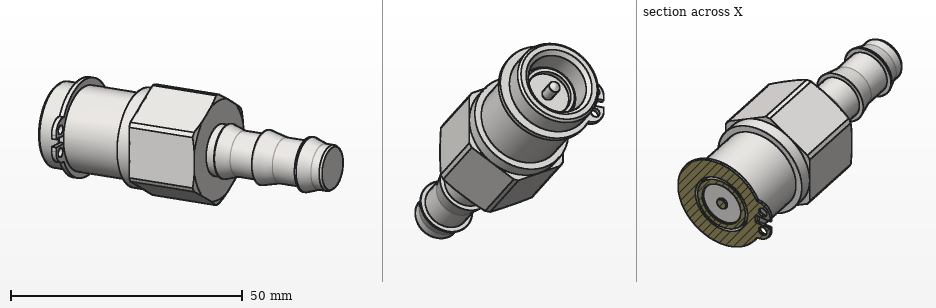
import cadquery as cq
import math

total_length = 67.5

sleeve_radius = 19.0 / 2
sleeve_chamfer = 0.55
collar_radius = 22.0 / 2
collar_start = 20.45
groove_radius = 18.0 / 2
groove_start = 5.05
groove_end = 6.4

hex_start = 23.4
hex_end = 39.5
hex_flats = 2 * collar_radius
hex_corner_radius = 24.8 / 2
hex_chamfer_length = 0.4
hex_chamfer_depth = 1.2

neck_radius = 11.5 / 2
tail_radius = 10.1 / 2
barb_radius = 12.15 / 2
tip_chamfer_length = 0.55
tip_chamfer_depth = 0.35
barbs = [(41.6, 41.7, 44.95), (50.9, 51.0, 55.35), (61.4, 61.8, 64.9)]

bore_radius = 13.6 / 2
bore_depth = 8.1
mouth_chamfer = 0.95
tube_outer_radius = 12.6 / 2
tube_inner_radius = 10.0 / 2
tube_face = 5.2
tube_chamfer = 0.5
tube_floor = 6.35
pin_radius = 2.5 / 2
pin_tip = 1.75
pin_cone_length = 0.7

ring_thickness = 1.1
ring_radius = collar_radius
ring_offset = 0.5
ring_gap = 1.8
ear_radius = 3.25
ear_y = -9.6
ear_z = 1.8
ear_hole_radius = 2.0 / 2
ear_hole_y = -10.8
ear_hole_z = 2.55


def revolve_about_x(points):
    """Turn a closed (x, radius) outline about the X axis."""
    return cq.Workplane("XY").polyline(points).close().revolve(360, (0, 0, 0), (1, 0, 0))


def disc(x, length, radius, y=0, z=0):
    """Cylinder along X starting at the given x."""
    return cq.Workplane("YZ", origin=(x, y, z)).circle(radius).extrude(length)


def make_body():
    outline = [
        (0, 0),
        (0, sleeve_radius - sleeve_chamfer),
        (sleeve_chamfer, sleeve_radius),
        (groove_start, sleeve_radius),
        (groove_start, groove_radius),
        (groove_end, groove_radius),
        (groove_end, sleeve_radius),
        (collar_start, sleeve_radius),
        (collar_start, collar_radius),
        (hex_start, collar_radius),
        (hex_start, neck_radius),
    ]
    radius_before = neck_radius
    for crest_start, crest_end, taper_end in barbs:
        outline += [
            (crest_start, radius_before),
            (crest_start, barb_radius),
            (crest_end, barb_radius),
            (taper_end, tail_radius),
        ]
        radius_before = tail_radius
    outline += [
        (total_length - tip_chamfer_length, tail_radius),
        (total_length, tail_radius - tip_chamfer_depth),
        (total_length, 0),
    ]
    return revolve_about_x(outline)


def make_hexagon():
    """Hexagon with corners at top and bottom, rounded at the corners and chamfered behind."""
    prism = (
        cq.Workplane("YZ", origin=(hex_start, 0, 0))
        .transformed(rotate=(0, 0, 90))
        .polygon(6, hex_flats / math.cos(math.pi / 6))
        .extrude(hex_end - hex_start)
    )
    envelope = revolve_about_x([
        (hex_start, 0),
        (hex_start, hex_corner_radius),
        (hex_end - hex_chamfer_length, hex_corner_radius),
        (hex_end, hex_corner_radius - hex_chamfer_depth),
        (hex_end, 0),
    ])
    return prism.intersect(envelope)


def make_bore():
    """Space inside the socket, leaving the tube and the pin standing."""
    return revolve_about_x([
        (0, 0),
        (0, bore_radius + mouth_chamfer),
        (mouth_chamfer, bore_radius),
        (bore_depth, bore_radius),
        (bore_depth, tube_outer_radius),
        (tube_face + tube_chamfer, tube_outer_radius),
        (tube_face, tube_outer_radius - tube_chamfer),
        (tube_face, tube_inner_radius),
        (tube_floor, tube_inner_radius),
        (tube_floor, pin_radius),
        (pin_tip + pin_cone_length, pin_radius),
        (pin_tip, 0),
    ])


def make_retaining_ring():
    start = groove_end - ring_thickness
    ring = disc(start, ring_thickness, ring_radius, y=ring_offset)
    web_tip = ear_y - ear_radius
    web = cq.Workplane("XY").box(
        ring_thickness, -groove_radius - web_tip, 2 * ear_z, centered=(False, False, True)
    )
    ring = ring.union(web.translate((start, web_tip, 0)))
    for side in (1, -1):
        ring = ring.union(disc(start, ring_thickness, ear_radius, ear_y, side * ear_z))
    for side in (1, -1):
        ring = ring.cut(disc(start, ring_thickness, ear_hole_radius, ear_hole_y, side * ear_hole_z))
    gap = cq.Workplane("XY").box(ring_thickness, 2 * ring_radius, ring_gap, centered=(False, False, True))
    ring = ring.cut(gap.translate((start, -2 * ring_radius, 0)))
    return ring.cut(disc(start, ring_thickness, groove_radius))


result = make_body().union(make_hexagon()).cut(make_bore()).union(make_retaining_ring())